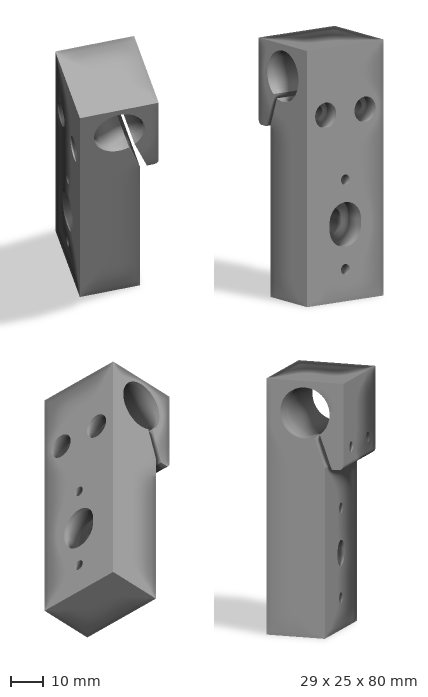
import cadquery as cq
import math

width = 29.0
depth = 25.0
height = 80.0
stem_depth = 19.0
jaw_length = 27.0
jaw_corner_radius = 1.5

bore_diameter = 16.0
bore_y = depth / 2
bore_z = height - 10.0
slit_width = 2.0
slit_angle = math.radians(20)
slit_corner_z = height - 26.7

screw_spacing = 15.0
screw_z = height - 21.0
screw_head_diameter = 8.0
screw_head_depth = 4.6
screw_clearance_diameter = 4.5
thread_diameter = 3.3

slot_z = height - 56
slot_travel = 2.0
slot_width = 6.0
slot_recess_width = 12.0
slot_recess_depth = 6.5
pin_diameter = 3.3
pin_offset = 14.0


def front_sketch(x, z):
    """Workplane on the front face, looking into the part along +Y."""
    return cq.Workplane("XZ", origin=(x, 0, z))


def round_cut(x, z, diameter, length):
    return front_sketch(x, z).circle(diameter / 2).extrude(-length)


def slot_cut(width_across, length):
    overall = width_across + slot_travel
    return front_sketch(0, slot_z).slot2D(overall, width_across, 90).extrude(-length)


def slit_front_y(z):
    """Y of the slit wall on the stem side at height z."""
    return stem_depth - (z - slit_corner_z) * math.tan(slit_angle)


jaw_tip_z = height - jaw_length
slit_span_y = slit_width / math.cos(slit_angle)
jaw_tip_y = slit_front_y(jaw_tip_z) + slit_span_y
bore_slit_y = slit_front_y(bore_z)
body = (
    cq.Workplane("YZ")
    .moveTo(0, 0)
    .lineTo(stem_depth, 0)
    .lineTo(stem_depth, slit_corner_z)
    .lineTo(bore_slit_y, bore_z)
    .lineTo(bore_slit_y + slit_span_y, bore_z)
    .lineTo(jaw_tip_y, jaw_tip_z)
    .lineTo(depth, jaw_tip_z)
    .lineTo(depth, height)
    .lineTo(0, height)
    .close()
    .extrude(width / 2, both=True)
)
jaw_corner = cq.selectors.NearestToPointSelector((0, depth, jaw_tip_z))
body = body.edges(jaw_corner).fillet(jaw_corner_radius)

bore = (
    cq.Workplane("YZ", origin=(0, bore_y, bore_z))
    .circle(bore_diameter / 2)
    .extrude(width / 2, both=True)
)
body = body.cut(bore)

slit_middle_y = slit_front_y(screw_z) + slit_span_y / 2
for side in (-1, 1):
    screw_x = side * screw_spacing / 2
    body = body.cut(round_cut(screw_x, screw_z, screw_head_diameter, screw_head_depth))
    body = body.cut(round_cut(screw_x, screw_z, screw_clearance_diameter, slit_middle_y))
    body = body.cut(round_cut(screw_x, screw_z, thread_diameter, depth))

body = body.cut(slot_cut(slot_recess_width, slot_recess_depth))
body = body.cut(slot_cut(slot_width, depth))

for pin_z in (slot_z + pin_offset, slot_z - pin_offset):
    body = body.cut(round_cut(0, pin_z, pin_diameter, stem_depth))

result = body